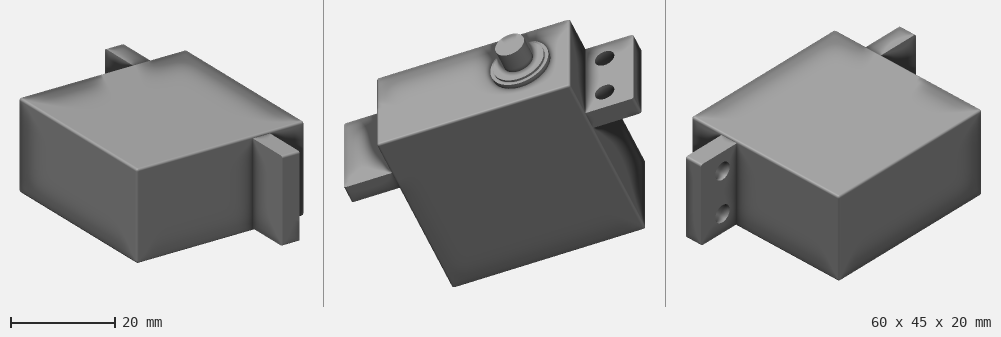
import cadquery as cq

case_width = 40.0
case_depth = 39.0
case_height = 20.0
case_edge_radius = 0.5

ear_span = 60.0
ear_thickness = 4.0
ear_height = 19.0
ear_setback = 8.0
ear_corner_radius = 0.5
hole_diameter = 4.0
hole_spacing = 10.0
hole_from_end = 6.0

shaft_from_side = 10.0
shaft_diameter = 6.0
shaft_length = 6.0
collar_diameter = 12.0
collar_length = 1.0
collar_step_diameter = 10.5
collar_step_length = 1.5

output_face_y = case_depth / 2
shaft_x = -case_width / 2 + shaft_from_side
ear_y = output_face_y - ear_setback - ear_thickness / 2
hole_x = -ear_span / 2 + hole_from_end


def make_case():
    """Rectangular case with every edge rounded."""
    return cq.Workplane("XY").box(case_width, case_depth, case_height).edges().fillet(case_edge_radius)


def make_ears():
    """One plate through the case forms both ears; only the -X ear is drilled."""
    plate = cq.Workplane("XY").box(ear_span, ear_thickness, ear_height)
    plate = plate.edges("|Y").fillet(ear_corner_radius)
    holes = (
        cq.Workplane("XZ")
        .pushPoints([(hole_x, -hole_spacing / 2), (hole_x, hole_spacing / 2)])
        .circle(hole_diameter / 2)
        .extrude(ear_thickness, both=True)
    )
    return plate.cut(holes).translate((0, ear_y, 0))


def make_output_cylinder(diameter, length):
    """Cylinder on the shaft axis, rising from the +Y face of the case."""
    return (
        cq.Workplane("XZ", origin=(shaft_x, output_face_y, 0))
        .circle(diameter / 2)
        .extrude(-length)
    )


result = make_case().union(make_ears())
for diameter, length in [
    (collar_diameter, collar_length),
    (collar_step_diameter, collar_step_length),
    (shaft_diameter, shaft_length),
]:
    result = result.union(make_output_cylinder(diameter, length))